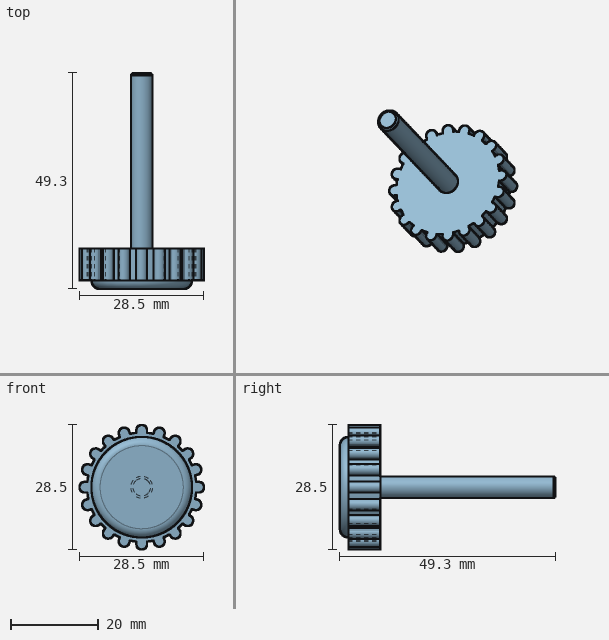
import cadquery as cq

LOBE_COUNT = 20
LOBE_RADIUS = 1.25
OUTER_RADIUS = 14.25
LOBE_CIRCLE_RADIUS = OUTER_RADIUS - LOBE_RADIUS
DISC_RADIUS = 12.5
LOBE_ROOT_RADIUS = DISC_RADIUS - LOBE_RADIUS
GRIP_LENGTH = 7.3

CAP_HEIGHT = 2.0
CAP_FACE_RADIUS = 9.5
CAP_RADIUS = CAP_FACE_RADIUS + CAP_HEIGHT

ROD_RADIUS = 2.5
ROD_LENGTH = 40.0
ROD_CHAMFER = 0.5


def cylinder_along_y(radius, y_start, y_end):
    """Cylinder on the Y axis; y_end is greater than y_start."""
    plane = cq.Workplane("XZ", origin=(0, y_start, 0))
    return plane.circle(radius).extrude(y_start - y_end)


def make_lobe(angle):
    """Straight-sided lobe with a half-round tip, turned about the Y axis by an angle in degrees."""
    lobe = (
        cq.Workplane("XZ")
        .moveTo(LOBE_ROOT_RADIUS, -LOBE_RADIUS)
        .lineTo(LOBE_CIRCLE_RADIUS, -LOBE_RADIUS)
        .threePointArc((OUTER_RADIUS, 0), (LOBE_CIRCLE_RADIUS, LOBE_RADIUS))
        .lineTo(LOBE_ROOT_RADIUS, LOBE_RADIUS)
        .close()
        .extrude(GRIP_LENGTH)
    )
    return lobe.rotate((0, 0, 0), (0, 1, 0), angle)


def make_grip():
    """Lobed disc whose back face lies at Y = 0."""
    grip = cylinder_along_y(DISC_RADIUS, -GRIP_LENGTH, 0)
    for index in range(LOBE_COUNT):
        grip = grip.union(make_lobe(index * 360 / LOBE_COUNT))
    return grip


def make_cap():
    """Cap whose rim is a quarter round over its full height."""
    rim_y = -GRIP_LENGTH
    face_y = rim_y - CAP_HEIGHT
    quarter_round_centre = (CAP_FACE_RADIUS, rim_y)
    diagonal = CAP_HEIGHT * 0.5 ** 0.5
    arc_middle = (quarter_round_centre[0] + diagonal, quarter_round_centre[1] - diagonal)
    return (
        cq.Workplane("XY")
        .moveTo(0, rim_y)
        .lineTo(CAP_RADIUS, rim_y)
        .threePointArc(arc_middle, (CAP_FACE_RADIUS, face_y))
        .lineTo(0, face_y)
        .close()
        .revolve(360, (0, 0, 0), (0, 1, 0))
    )


def make_rod():
    """Rod rising from the back of the grip, chamfered at its free end."""
    return cylinder_along_y(ROD_RADIUS, 0, ROD_LENGTH).faces(">Y").chamfer(ROD_CHAMFER)


result = make_grip().union(make_cap()).union(make_rod())